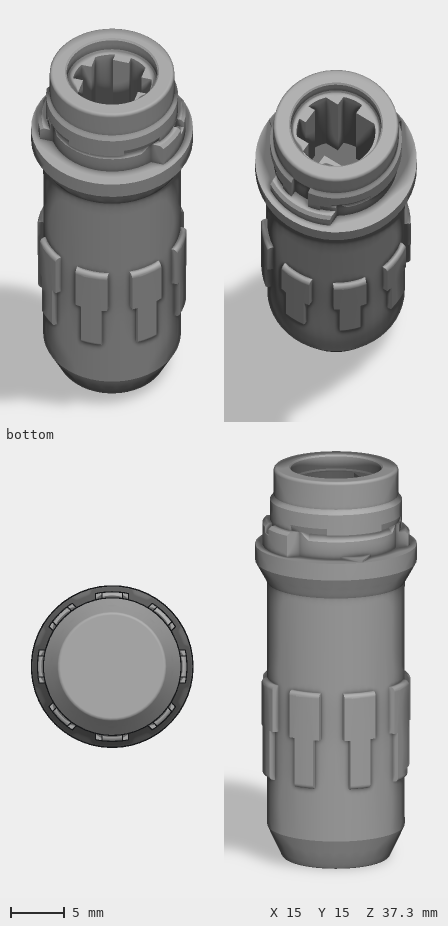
import cadquery as cq

total_height = 37.3
tail_taper_top = 3.02
shoulder_bottom = 26.35
flange_bottom = 28.35
flange_top = 29.95
band_bottom = 32.3
band_top = 34.7

tail_radius = 4.95
body_radius = 6.38
flange_radius = 7.5
nose_radius = 5.8
band_radius = 6.1

nose_fillet = 0.3
tail_fillet = 0.3
band_chamfer_height = 0.45

tab_count = 8
tab_radius = 6.95
tab_fillet = 0.4
tab_bottom = 8.05
tab_step = 12.8
tab_top = 17.25
tab_wide = 3.05
tab_narrow = 1.95

wing_radius = 6.83
wing_chamfer = 0.3
wing_half_width = 3.32
low_wing_top = 31.4
wing_notch_width = 1.05
inner_wing_radius = 6.0
inner_wing_chamfer = 0.22

keyway_width = 1.85
keyway_floor_radius = 5.5
lug_span = 4.1

ramp_bottom = 31.55
ramp_top_radius = 5.07
ramp_top_offset = 3.4
ramp_bottom_offset = 4.05

relief_height = 0.6
relief_depth = 0.22
relief_sweep = 36.0
relief_angle_low_side = 29.7
relief_angle_high_side = 27.0
relief_starts = (
    relief_angle_high_side,
    180 - relief_angle_low_side - relief_sweep,
    180 + relief_angle_low_side,
    360 - relief_angle_high_side - relief_sweep,
)

arrow_height = 0.22
arrow_base_y = 5.22
arrow_slope = 0.78

bore_radius = 4.35
bore_chamfer = 0.15
bore_floor = 35.85
socket_radius = 3.65
socket_floor = shoulder_bottom
socket_upper_half_width = 2.42
socket_upper_shoulder = 1.4
socket_lower_half_width = 2.65
socket_lower_shoulder = -0.5
socket_key_width = 1.53
socket_key_tip = 2.87


def revolved(profile):
    """Solid of revolution about Z from (radius, height) points."""
    return cq.Workplane("XZ").polyline(profile).close().revolve(360, (0, 0, 0), (0, 1, 0))


def block(x_min, x_max, y_min, y_max, z_min, z_max):
    """Axis-aligned box given by its limits."""
    size = (x_max - x_min, y_max - y_min, z_max - z_min)
    return cq.Workplane("XY").box(*size, centered=False).translate((x_min, y_min, z_min))


def disc(radius, z_min, z_max):
    """Upright cylinder on the axis."""
    return cq.Workplane("XY").workplane(offset=z_min).circle(radius).extrude(z_max - z_min)


def make_body():
    profile = [
        (0, 0),
        (tail_radius, 0),
        (body_radius, tail_taper_top),
        (body_radius, shoulder_bottom),
        (flange_radius, flange_bottom),
        (flange_radius, flange_top),
        (nose_radius, flange_top),
        (nose_radius, total_height),
        (0, total_height),
    ]
    body = revolved(profile)
    body = body.faces(">Z").edges().fillet(nose_fillet)
    return body.faces("<Z").edges().fillet(tail_fillet)


def make_ramp_cut():
    """Cone-shaped relief under the band, ended by sloping planes on +Y and -Y."""
    ring = revolved([
        (ramp_top_radius, band_bottom),
        (nose_radius, ramp_bottom),
        (flange_radius, ramp_bottom),
        (flange_radius, band_bottom),
    ])
    side = (
        cq.Workplane("YZ")
        .polyline([
            (ramp_top_offset, band_bottom),
            (ramp_bottom_offset, ramp_bottom),
            (flange_radius, ramp_bottom),
            (flange_radius, band_bottom),
        ])
        .close()
        .extrude(flange_radius, both=True)
    )
    return ring.intersect(side.union(side.mirror("XZ")))


def make_band():
    """Collar around the nose, with a downward lug on -X and relief pockets below."""
    band = disc(band_radius, band_bottom, band_top).faces(">Z").edges().chamfer(
        band_chamfer_height, band_radius - nose_radius
    )
    lug = disc(band_radius, low_wing_top, band_bottom).intersect(
        block(-flange_radius, 0, -lug_span / 2, lug_span / 2, low_wing_top, band_bottom)
    )
    relief_profile = [
        (band_radius - relief_depth, band_bottom),
        (band_radius, band_bottom + relief_height),
        (flange_radius, band_bottom + relief_height),
        (flange_radius, band_bottom),
    ]
    band = band.union(lug)
    for start in relief_starts:
        relief = (
            cq.Workplane("XZ")
            .polyline(relief_profile)
            .close()
            .revolve(relief_sweep, (0, 0, 0), (0, 1, 0))
        )
        band = band.cut(relief.rotate((0, 0, 0), (0, 0, 1), start))
    return band


def make_keyway():
    """Slot on the -X side, sunk through the band into the nose."""
    slot = block(-flange_radius, 0, -keyway_width / 2, keyway_width / 2, low_wing_top, band_top)
    return slot.cut(disc(keyway_floor_radius, low_wing_top, band_top))


def make_wing(side, radius, top, chamfer):
    """Ring segment on the flange, on the -X (side = -1) or +X (side = 1) half."""
    ring = disc(radius, flange_top, top).faces(">Z").edges().chamfer(chamfer)
    limits = sorted((0, side * flange_radius))
    return ring.intersect(block(*limits, -wing_half_width, wing_half_width, flange_top, top))


def make_wings():
    low_wing = make_wing(-1, wing_radius, low_wing_top, wing_chamfer)
    inner_wing = make_wing(-1, inner_wing_radius, band_bottom, inner_wing_chamfer)
    high_wing = make_wing(1, wing_radius, band_bottom, wing_chamfer)
    notch = block(
        band_radius, flange_radius, -wing_notch_width / 2, wing_notch_width / 2, low_wing_top, band_bottom
    )
    return low_wing.union(inner_wing).union(high_wing.cut(notch))


def make_tabs():
    """Stepped grip tabs: wide above, narrow below, rounded at both ends."""
    sleeve = disc(tab_radius, tab_bottom, tab_top).edges().fillet(tab_fillet)
    core = disc(body_radius - tab_fillet, tab_bottom, tab_top)
    wide = block(0, flange_radius, -tab_wide / 2, tab_wide / 2, tab_step, tab_top)
    narrow = block(0, flange_radius, -tab_narrow / 2, tab_narrow / 2, tab_bottom, tab_step)
    tab = sleeve.cut(core).intersect(wide.union(narrow))
    tabs = tab
    for index in range(1, tab_count):
        tabs = tabs.union(tab.rotate((0, 0, 0), (0, 0, 1), index * 360 / tab_count))
    return tabs


def make_arrow():
    """Raised triangle pointing to +Y at the flange rim."""
    half_base = arrow_slope * (flange_radius - arrow_base_y)
    return (
        cq.Workplane("XY")
        .workplane(offset=flange_top)
        .polyline([(-half_base, arrow_base_y), (half_base, arrow_base_y), (0, flange_radius)])
        .close()
        .extrude(arrow_height)
    )


def make_socket():
    """Round mouth with a keyed socket below it."""
    mouth = revolved([
        (0, bore_floor),
        (bore_radius - 2 * bore_chamfer, bore_floor),
        (bore_radius - bore_chamfer, bore_floor + bore_chamfer),
        (bore_radius - bore_chamfer, total_height - bore_chamfer),
        (bore_radius, total_height),
        (0, total_height),
    ])
    socket = disc(socket_radius, socket_floor, bore_floor)
    z_limits = (socket_floor, bore_floor)
    for half_width, y_limits in (
        (socket_upper_half_width, (socket_upper_shoulder, socket_radius)),
        (socket_lower_half_width, (-socket_radius, socket_lower_shoulder)),
    ):
        socket = socket.cut(block(half_width, socket_radius, *y_limits, *z_limits))
        socket = socket.cut(block(-socket_radius, -half_width, *y_limits, *z_limits))
    key_half = socket_key_width / 2
    socket = socket.cut(block(-key_half, key_half, socket_key_tip, socket_radius, *z_limits))
    return mouth.union(socket)


result = (
    make_body()
    .cut(make_ramp_cut())
    .union(make_band())
    .union(make_wings())
    .cut(make_keyway())
    .union(make_tabs())
    .union(make_arrow())
    .cut(make_socket())
)